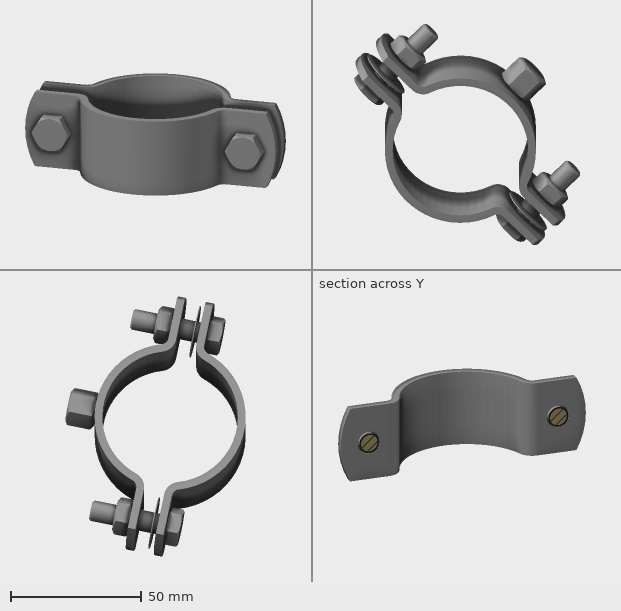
import cadquery as cq
import math


pipe_radius = 26.0
strap_thickness = 3.0
strap_width = 30.0
clamp_length = 100.3
half_gap = 4.0
bend_inner_radius = 3.0
ear_end_radius = 31.3

bolt_x = 38.7
bolt_hole_diameter = 9.0
thread_diameter = 8.0
thread_tip_diameter = 6.65
shank_diameter = 7.32
thread_start_y = -3.3
bolt_tip_y = 23.0
hex_across_flats = 13.0
nut_height = 6.5
nut_face_diameter = 11.4
head_height = 5.3
bearing_face_height = 0.4
bearing_face_diameter = 11.4
head_chamfer_diameter = 13.0
hex_chamfer_angle = 30.0

disc_diameter = 20.0
disc_thickness = 0.4
disc_y = -1.8

connector_height = 11.0
connector_sink = 0.1

outer_radius = pipe_radius + strap_thickness
bend_outer_radius = bend_inner_radius + strap_thickness
ear_outer_y = half_gap + strap_thickness
ear_end_x = clamp_length / 2
bend_center_y = half_gap + bend_outer_radius
bend_center_distance = outer_radius + bend_inner_radius
bend_center_x = math.sqrt(bend_center_distance**2 - bend_center_y**2)
seam_angle = math.asin(bend_center_y / bend_center_distance)
hex_across_corners = hex_across_flats / math.cos(math.pi / 6)


def polar(radius, angle):
    return radius * math.cos(angle), radius * math.sin(angle)


def bend_middle(radius):
    """Midpoint of a bend arc running from the ear to the ring seam."""
    ear_direction = 3 * math.pi / 2
    seam_direction = math.pi + seam_angle
    dx, dy = polar(radius, (ear_direction + seam_direction) / 2)
    return bend_center_x + dx, bend_center_y + dy


def mirror_x(point):
    return -point[0], point[1]


def cylinder_y(x, diameter, y_start, y_end):
    """Cylinder along Y between two Y positions, centred on Z = 0."""
    start = cq.Vector(x, y_start, 0)
    return cq.Workplane(cq.Solid.makeCylinder(diameter / 2, y_end - y_start, start, cq.Vector(0, 1, 0)))


def hexagon_y(x, y_start, y_end):
    """Hexagonal prism along Y with two corners on the X direction."""
    return (
        cq.Workplane("XZ", origin=(x, y_end, 0))
        .polygon(6, hex_across_corners)
        .extrude(y_end - y_start)
    )


def turned_cone(x, face_y, face_diameter, direction):
    """Cone widening from an end face into a hexagon; direction is +1 or -1 along Y."""
    length = connector_height
    widening = length / math.tan(math.radians(hex_chamfer_angle))
    face_radius = face_diameter / 2
    face_center = cq.Vector(x, face_y, 0)
    axis = cq.Vector(0, direction, 0)
    return cq.Workplane(cq.Solid.makeCone(face_radius, face_radius + widening, length, face_center, axis))


def make_nut_body(x, y_start, y_end):
    """Hexagonal nut with its corners turned to a cone at both ends."""
    start_cone = turned_cone(x, y_start, nut_face_diameter, 1)
    end_cone = turned_cone(x, y_end, nut_face_diameter, -1)
    return hexagon_y(x, y_start, y_end).intersect(start_cone).intersect(end_cone)


def make_ear_envelope():
    """Block with the strap width and convex ends that trims the ears."""
    half_width = strap_width / 2
    end_drop = ear_end_radius - math.sqrt(ear_end_radius**2 - half_width**2)
    corner_x = ear_end_x - end_drop
    return (
        cq.Workplane("XZ")
        .moveTo(-corner_x, -half_width)
        .lineTo(corner_x, -half_width)
        .threePointArc((ear_end_x, 0), (corner_x, half_width))
        .lineTo(-corner_x, half_width)
        .threePointArc((-ear_end_x, 0), (-corner_x, -half_width))
        .close()
        .extrude(outer_radius, both=True)
    )


def make_strap_half():
    """Half on the +Y side: ring arc, two bends and two drilled ears."""
    outer_seam = polar(outer_radius, seam_angle)
    inner_seam = polar(pipe_radius, seam_angle)
    outer_bend = bend_middle(bend_inner_radius)
    inner_bend = bend_middle(bend_outer_radius)
    strap = (
        cq.Workplane("XY")
        .moveTo(ear_end_x, half_gap)
        .lineTo(ear_end_x, ear_outer_y)
        .lineTo(bend_center_x, ear_outer_y)
        .threePointArc(outer_bend, outer_seam)
        .threePointArc((0, outer_radius), mirror_x(outer_seam))
        .threePointArc(mirror_x(outer_bend), (-bend_center_x, ear_outer_y))
        .lineTo(-ear_end_x, ear_outer_y)
        .lineTo(-ear_end_x, half_gap)
        .lineTo(-bend_center_x, half_gap)
        .threePointArc(mirror_x(inner_bend), mirror_x(inner_seam))
        .threePointArc((0, pipe_radius), inner_seam)
        .threePointArc(inner_bend, (bend_center_x, half_gap))
        .close()
        .extrude(strap_width / 2, both=True)
        .intersect(make_ear_envelope())
    )
    for x in (-bolt_x, bolt_x):
        strap = strap.cut(cylinder_y(x, bolt_hole_diameter, half_gap, ear_outer_y))
    return strap


def make_bolt(x):
    """Bolt with its head under the -Y ear and its tip toward +Y."""
    head_bottom_y = -ear_outer_y - head_height
    head_top_y = -ear_outer_y - bearing_face_height
    end_cone = turned_cone(x, head_bottom_y, head_chamfer_diameter, 1)
    head = hexagon_y(x, head_bottom_y, head_top_y).intersect(end_cone)
    bearing_face = cylinder_y(x, bearing_face_diameter, head_top_y, -ear_outer_y)
    shank = cylinder_y(x, shank_diameter, head_top_y, thread_start_y)
    runout = (thread_diameter - shank_diameter) / 2
    thread = (
        cylinder_y(x, thread_diameter, thread_start_y - runout, bolt_tip_y)
        .faces(">Y")
        .chamfer((thread_diameter - thread_tip_diameter) / 2)
        .faces("<Y")
        .chamfer(runout)
    )
    return head.union(bearing_face).union(shank).union(thread)


def make_nut(x):
    nut_top_y = ear_outer_y + nut_height
    return make_nut_body(x, ear_outer_y, nut_top_y)


def make_disc(x):
    return cylinder_y(x, disc_diameter, disc_y - disc_thickness / 2, disc_y + disc_thickness / 2)


def make_connector():
    base_y = outer_radius - connector_sink
    return make_nut_body(0, base_y, base_y + connector_height)


upper_half = make_strap_half()
lower_half = upper_half.mirror("XZ")
clamp = upper_half.union(make_connector())
for side_x in (-bolt_x, bolt_x):
    clamp = clamp.union(make_bolt(side_x)).union(make_nut(side_x)).union(make_disc(side_x))

result = clamp.union(lower_half)